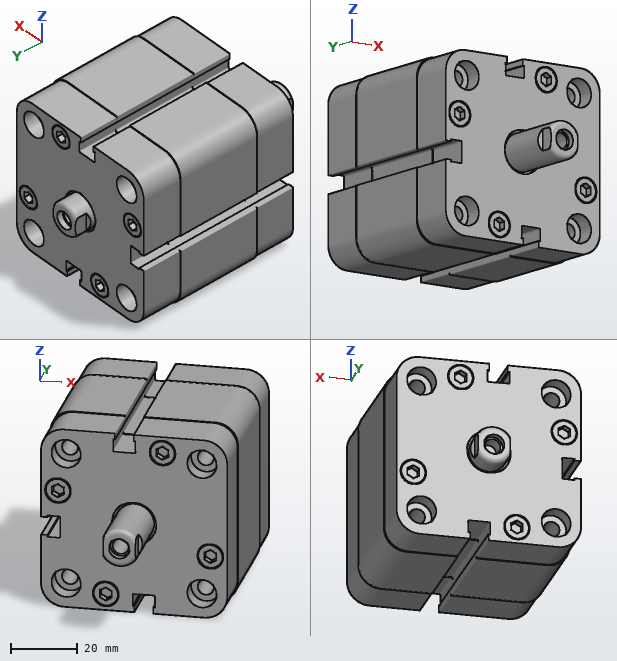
import cadquery as cq
import math

total_length = 88.5
body_width = 58.1
cap_inset = 0.3
cap_width = body_width - 2 * cap_inset
corner_radius = 7.2
cap_length = 14.7
barrel_length = 31.15
front_rod_length = 21.4

rod_diameter = 12.0
rod_end_round = 1.4
rod_seat_diameter = 13.6
rod_seat_depth = 1.0
flat_width = 10.0
flat_length = 4.4
tapped_hole_diameter = 5.0
tapped_hole_mouth = 6.3
tapped_hole_mouth_depth = 2.2
tapped_hole_depth = 12.0
drill_tip_angle = 118.0

mount_offset = 21.0
mount_hole_diameter = 5.0
mount_bore_diameter = 9.0
mount_bore_depth = 5.6

screw_near = 8.8
screw_far = 23.5
screw_head_diameter = 7.5
screw_bore_diameter = 8.0
screw_gap_depth = 0.5
hex_across_flats = 3.7
hex_depth = 2.5

slot_offset = 3.0
slot_mouth_width = 5.75
slot_inner_width = 6.9
slot_lip_height = 26.7
barrel_slot_floor = 23.1
cap_slot_drop = 0.3
cap_slot_floor = barrel_slot_floor - cap_slot_drop
slot_mouth_round = 0.3
slot_floor_round = 0.4

front_end = -total_length / 2
back_end = total_length / 2
front_face = front_end + front_rod_length
barrel_front = front_face + cap_length
barrel_back = barrel_front + barrel_length
back_face = barrel_back + cap_length

cap_faces = [(front_face, 1), (back_face, -1)]
rod_ends = [(front_end, 1), (back_end, -1)]


def section(y):
    """Workplane parallel to XZ at position y along the axis."""
    return cq.Workplane("XZ", origin=(0, y, 0))


def prism(sketch, length):
    """Extrude an XZ sketch towards +Y (or -Y when length is negative)."""
    return sketch.extrude(-length)


def block(width, y, length):
    """Square block with rounded long edges."""
    return prism(section(y).rect(width, width), length).edges("|Y").fillet(corner_radius)


def slot(width, floor):
    """Undercut slot in the top side of a block of the given width, running the full length."""
    top = width / 2
    mouth = slot_mouth_width / 2
    inner = slot_inner_width / 2
    half = (
        section(front_end)
        .moveTo(0, floor)
        .lineTo(inner - slot_floor_round, floor)
        .tangentArcPoint((slot_floor_round, slot_floor_round))
        .lineTo(inner, slot_lip_height)
        .lineTo(mouth, slot_lip_height)
        .lineTo(mouth, top - slot_mouth_round)
        .tangentArcPoint((slot_mouth_round, slot_mouth_round))
        .lineTo(mouth + slot_mouth_round, body_width)
        .lineTo(0, body_width)
        .close()
    )
    half_tool = prism(half, total_length)
    tool = half_tool.union(half_tool.mirror("YZ"))
    return tool.translate((-slot_offset, 0, 0))


def slotted_block(width, y, length, floor):
    """Block with slots in its top, left and bottom sides."""
    part = block(width, y, length)
    for quarter_turn in range(3):
        part = part.cut(slot(width, floor).rotate((0, 0, 0), (0, 1, 0), -90 * quarter_turn))
    return part


def mount_cuts():
    """Through holes in the four corners, counterbored from both caps."""
    corners = [(x, z) for x in (-mount_offset, mount_offset) for z in (-mount_offset, mount_offset)]
    holes = section(front_face).pushPoints(corners).circle(mount_hole_diameter / 2)
    cuts = prism(holes, back_face - front_face)
    for y, inward in cap_faces:
        bores = section(y).pushPoints(corners).circle(mount_bore_diameter / 2)
        cuts = cuts.union(prism(bores, inward * mount_bore_depth))
    return cuts


def screw_cuts():
    """Annular gaps around the screw heads and the hexagon sockets in them."""
    points = [
        (screw_near, screw_far),
        (-screw_far, screw_near),
        (-screw_near, -screw_far),
        (screw_far, -screw_near),
    ]
    hex_radius = hex_across_flats / 2 / math.cos(math.pi / 6)
    hexagon = [
        (hex_radius * math.sin(k * math.pi / 3), hex_radius * math.cos(k * math.pi / 3))
        for k in range(6)
    ]
    cuts = cq.Workplane("XZ")
    for y, inward in cap_faces:
        bore = prism(section(y).circle(screw_bore_diameter / 2), inward * screw_gap_depth)
        head = prism(section(y).circle(screw_head_diameter / 2), inward * screw_gap_depth)
        socket = prism(section(y).polyline(hexagon).close(), inward * hex_depth)
        tool = bore.cut(head).union(socket)
        for x, z in points:
            cuts = cuts.add(tool.translate((x, 0, z)))
    return cuts.combine()


def tapped_hole(y, inward):
    """Blind hole with a counterbored mouth and a conical drill tip."""
    radius = tapped_hole_diameter / 2
    mouth = tapped_hole_mouth / 2
    tip = radius / math.tan(math.radians(drill_tip_angle / 2))
    outline = [
        (0, y),
        (mouth, y),
        (mouth, y + inward * tapped_hole_mouth_depth),
        (radius, y + inward * tapped_hole_mouth_depth),
        (radius, y + inward * tapped_hole_depth),
        (0, y + inward * (tapped_hole_depth + tip)),
    ]
    return cq.Workplane("XY").polyline(outline).close().revolve(360, (0, 0, 0), (0, 1, 0))


def wrench_flat(y, inward):
    """Cutter for the +X flat, ending in a 45 degree run-out."""
    inside = flat_width / 2
    outside = rod_diameter
    outline = [
        (inside, y),
        (inside, y + inward * flat_length),
        (outside, y + inward * (flat_length + outside - inside)),
        (outside, y),
    ]
    return cq.Workplane("XY").polyline(outline).close().extrude(rod_diameter / 2, both=True)


def rod():
    """Piston rod with rounded ends, wrench flats and a tapped hole at each end."""
    part = prism(section(front_end).circle(rod_diameter / 2), total_length)
    part = part.faces("<Y or >Y").edges().fillet(rod_end_round)
    for y, inward in rod_ends:
        flat = wrench_flat(y, inward)
        part = part.cut(flat).cut(flat.mirror("YZ")).cut(tapped_hole(y, inward))
    return part


body = slotted_block(cap_width, front_face, cap_length, cap_slot_floor)
body = body.union(slotted_block(body_width, barrel_front, barrel_length, barrel_slot_floor))
body = body.union(slotted_block(cap_width, barrel_back, cap_length, cap_slot_floor))
body = body.cut(mount_cuts()).cut(screw_cuts())
for y, inward in cap_faces:
    body = body.cut(prism(section(y).circle(rod_seat_diameter / 2), inward * rod_seat_depth))

result = body.union(rod())